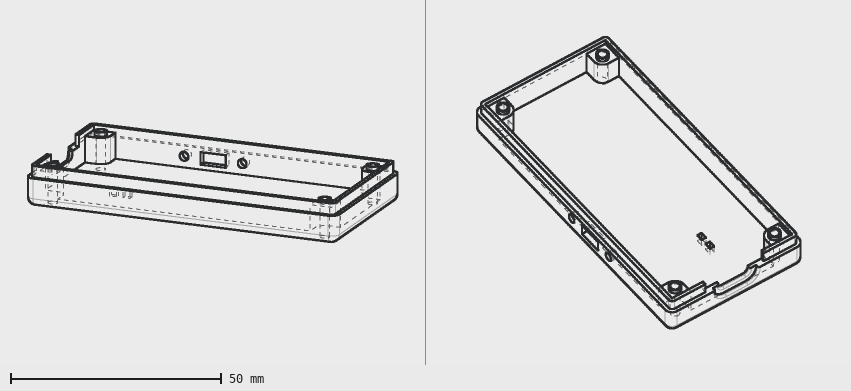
import cadquery as cq

LENGTH = 80.0
WIDTH = 39.0
HEIGHT = 9.8
BODY_HEIGHT = 7.0
CORNER_RADIUS = 2.0
BOTTOM_FILLET = 1.99
FLOOR_THICKNESS = 2.0

LEDGE_WIDTH = 1.0
LIP_THICKNESS = 1.0
WALL_THICKNESS = LEDGE_WIDTH + LIP_THICKNESS
LIP_LENGTH = LENGTH - 2 * LEDGE_WIDTH
LIP_WIDTH = WIDTH - 2 * LEDGE_WIDTH
LIP_CORNER_RADIUS = CORNER_RADIUS - LEDGE_WIDTH
CAVITY_LENGTH = LENGTH - 2 * WALL_THICKNESS
CAVITY_WIDTH = WIDTH - 2 * WALL_THICKNESS

SCREW_SPACING_X = 70.0
SCREW_SPACING_Y = 29.0
SCREW_HOLE_DIAMETER = 2.3
COLLAR_DIAMETER = 3.0
COLLAR_HEIGHT = 1.0
POST_TOP = 8.5
POST_RADIUS = 2.5

LIP_GAP = 17.0
OPENING_FLAT = 6.3
OPENING_ARC_Z = 6.45
PORT_RADIUS = 1.3
PLUG_RECESS_RADIUS = 3.1
PLUG_RECESS_DEPTH = LEDGE_WIDTH
OPENING_FILLET = 0.5
RIM_TOLERANCE = 0.01

SWITCH_X = -7.35
SWITCH_Z = 4.75
SWITCH_WINDOW_LENGTH = 6.5
SWITCH_WINDOW_HEIGHT = 3.1
SWITCH_HOLE_SPACING = 15.0
SWITCH_HOLE_DIAMETER = 2.2

INDICATOR_XS = (-23.8, -20.4)
INDICATOR_Y = -3.7
INDICATOR_LENGTH = 1.8
INDICATOR_WIDTH = 1.2


def block(length, width, z_bottom, z_top):
    """Box centred on the Z axis between two heights."""
    return (
        cq.Workplane("XY")
        .workplane(offset=z_bottom)
        .rect(length, width)
        .extrude(z_top - z_bottom)
    )


def make_shell():
    """Rounded tray with a stepped rim."""
    body = block(LENGTH, WIDTH, 0, BODY_HEIGHT).edges("|Z").fillet(CORNER_RADIUS)
    body = body.faces("<Z").edges().fillet(BOTTOM_FILLET)
    lip = block(LIP_LENGTH, LIP_WIDTH, FLOOR_THICKNESS, HEIGHT).edges("|Z").fillet(LIP_CORNER_RADIUS)
    cavity = block(CAVITY_LENGTH, CAVITY_WIDTH, FLOOR_THICKNESS, HEIGHT)
    return body.union(lip).cut(cavity)


def make_post(side_x, side_y):
    """Post filling one cavity corner, rounded on its inward edge, with a screw collar on top."""
    screw_x = side_x * SCREW_SPACING_X / 2
    screw_y = side_y * SCREW_SPACING_Y / 2
    length = (CAVITY_LENGTH + LIP_THICKNESS - SCREW_SPACING_X) / 2 + POST_RADIUS
    width = (CAVITY_WIDTH + LIP_THICKNESS - SCREW_SPACING_Y) / 2 + POST_RADIUS
    center_x = screw_x + side_x * (length / 2 - POST_RADIUS)
    center_y = screw_y + side_y * (width / 2 - POST_RADIUS)
    inward_edge = ("<X" if side_x > 0 else ">X", "<Y" if side_y > 0 else ">Y")
    post = (
        block(length, width, FLOOR_THICKNESS, POST_TOP)
        .edges("|Z and {} and {}".format(*inward_edge))
        .fillet(POST_RADIUS)
        .translate((center_x, center_y, 0))
    )
    collar = (
        cq.Workplane("XY", origin=(screw_x, screw_y, POST_TOP))
        .circle(COLLAR_DIAMETER / 2)
        .extrude(COLLAR_HEIGHT)
    )
    return post.union(collar)


def make_screw_holes():
    return (
        cq.Workplane("XY")
        .rect(SCREW_SPACING_X, SCREW_SPACING_Y, forConstruction=True)
        .vertices()
        .circle(SCREW_HOLE_DIAMETER / 2)
        .extrude(HEIGHT)
    )


def opening_outline(plane, radius):
    """U outline open at the ledge: flat bottom, quarter-circle corners and upright ends."""
    half_flat = OPENING_FLAT / 2
    half_width = half_flat + radius
    diagonal = radius * 0.5**0.5
    return (
        plane.moveTo(-half_width, HEIGHT)
        .lineTo(-half_width, OPENING_ARC_Z)
        .threePointArc((-half_flat - diagonal, OPENING_ARC_Z - diagonal), (-half_flat, OPENING_ARC_Z - radius))
        .lineTo(half_flat, OPENING_ARC_Z - radius)
        .threePointArc((half_flat + diagonal, OPENING_ARC_Z - diagonal), (half_width, OPENING_ARC_Z))
        .lineTo(half_width, HEIGHT)
        .close()
    )


def cut_opening(part, x_start, depth, radius):
    """Cut the U outline along +X from x_start and round over the rim of its mouth."""
    opening = opening_outline(cq.Workplane("YZ", origin=(x_start, 0, 0)), radius).extrude(depth)
    half_width = OPENING_FLAT / 2 + radius
    bottom = OPENING_ARC_Z - radius
    rim = cq.selectors.BoxSelector(
        (x_start - RIM_TOLERANCE, -half_width - RIM_TOLERANCE, bottom - RIM_TOLERANCE),
        (x_start + RIM_TOLERANCE, half_width + RIM_TOLERANCE, BODY_HEIGHT - RIM_TOLERANCE),
    )
    return part.cut(opening).edges(rim).fillet(OPENING_FILLET)


def cut_cable_opening(part):
    wall_x = -LENGTH / 2
    lip_gap = block(2 * WALL_THICKNESS, LIP_GAP, BODY_HEIGHT, HEIGHT).translate((wall_x, 0, 0))
    part = part.cut(lip_gap)
    part = cut_opening(part, wall_x, PLUG_RECESS_DEPTH, PLUG_RECESS_RADIUS)
    return cut_opening(part, wall_x + PLUG_RECESS_DEPTH, LIP_THICKNESS, PORT_RADIUS)


def make_switch_opening():
    inner_wall = cq.Workplane("XZ", origin=(SWITCH_X, CAVITY_WIDTH / 2, SWITCH_Z))
    window = inner_wall.rect(SWITCH_WINDOW_LENGTH, SWITCH_WINDOW_HEIGHT).extrude(-WALL_THICKNESS)
    half_spacing = SWITCH_HOLE_SPACING / 2
    holes = (
        inner_wall.pushPoints([(-half_spacing, 0), (half_spacing, 0)])
        .circle(SWITCH_HOLE_DIAMETER / 2)
        .extrude(-WALL_THICKNESS)
    )
    return window.union(holes)


def make_indicator_windows():
    return (
        cq.Workplane("XY")
        .pushPoints([(x, INDICATOR_Y) for x in INDICATOR_XS])
        .rect(INDICATOR_LENGTH, INDICATOR_WIDTH)
        .extrude(FLOOR_THICKNESS)
    )


case = cut_cable_opening(make_shell())
for side_x in (-1, 1):
    for side_y in (-1, 1):
        case = case.union(make_post(side_x, side_y))

result = case.cut(make_screw_holes()).cut(make_switch_opening()).cut(make_indicator_windows())